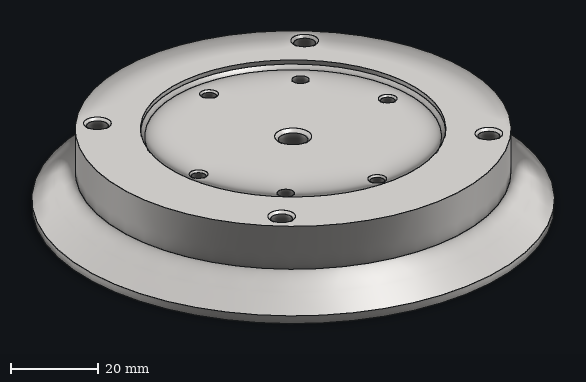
import cadquery as cq
import math

base_radius = 60.0
hub_radius = 50.0
total_height = 20.0
rim_height = 2.0
cone_top = 9.0

recess_radius = 35.0
recess_depth = 2.0
recess_bevel = 1.0
floor_z = total_height - recess_depth

ring_hole_circle = 45.0
ring_hole_diameter = 5.0
ring_hole_mouth = 6.4

floor_hole_circle = 29.0
pin_hole_diameter = 4.0
tapped_hole_diameter = 3.4
tapped_hole_mouth = 4.3
tapped_hole_depth = 10.0
center_hole_diameter = 6.8
center_hole_mouth = 8.5
center_hole_depth = 10.0
drill_tip_angle = 118.0


def revolve_profile(points):
    """Revolve a closed (radius, height) outline around the Z axis."""
    return cq.Workplane("XZ").polyline(points).close().revolve(360, (0, 0, 0), (0, 1, 0))


def through_hole(diameter, mouth, top_z):
    """Through hole cutter with a 45 degree countersunk mouth at top_z."""
    radius = diameter / 2
    mouth_radius = mouth / 2
    bevel_z = top_z - (mouth_radius - radius)
    return revolve_profile([(0, 0), (radius, 0), (radius, bevel_z), (mouth_radius, top_z), (0, top_z)])


def blind_hole(diameter, mouth, depth, top_z):
    """Drilled hole cutter with a countersunk mouth and a conical bottom."""
    radius = diameter / 2
    mouth_radius = mouth / 2
    bevel_z = top_z - (mouth_radius - radius)
    bottom_z = top_z - depth
    tip_z = bottom_z - radius / math.tan(math.radians(drill_tip_angle / 2))
    return revolve_profile(
        [(0, tip_z), (radius, bottom_z), (radius, bevel_z), (mouth_radius, top_z), (0, top_z)]
    )


def cut_on_circle(body, cutter, circle_radius, angles):
    """Cut a copy of the cutter at each angle on a circle about the Z axis."""
    for angle in angles:
        body = body.cut(cutter.translate((circle_radius, 0, 0)).rotate((0, 0, 0), (0, 0, 1), angle))
    return body


result = revolve_profile([
    (0, 0),
    (base_radius, 0),
    (base_radius, rim_height),
    (hub_radius, cone_top),
    (hub_radius, total_height),
    (0, total_height),
])

result = result.cut(revolve_profile([
    (0, floor_z),
    (recess_radius - recess_bevel, floor_z),
    (recess_radius, floor_z + recess_bevel),
    (recess_radius, total_height),
    (0, total_height),
]))

ring_hole = through_hole(ring_hole_diameter, ring_hole_mouth, total_height)
result = cut_on_circle(result, ring_hole, ring_hole_circle, (45, 135, 225, 315))

pin_hole = cq.Workplane("XY").circle(pin_hole_diameter / 2).extrude(floor_z)
result = cut_on_circle(result, pin_hole, floor_hole_circle, (135, 315))

tapped_hole = blind_hole(tapped_hole_diameter, tapped_hole_mouth, tapped_hole_depth, floor_z)
result = cut_on_circle(result, tapped_hole, floor_hole_circle, (0, 90, 180, 270))

result = result.cut(blind_hole(center_hole_diameter, center_hole_mouth, center_hole_depth, floor_z))